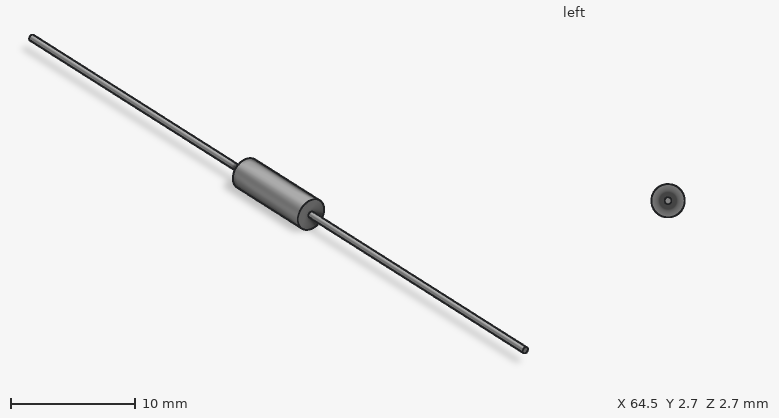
import cadquery as cq

overall_length = 64.5
body_diameter = 2.7
body_length = 8.5
lead_diameter = 0.55
lead_length = (overall_length - body_length) / 2


def make_rod(diameter, length, start_x):
    """Round rod along +X on the part's axis, starting at start_x."""
    return cq.Workplane("YZ", origin=(start_x, 0, 0)).circle(diameter / 2).extrude(length)


def make_body():
    """Cylindrical body centred on the origin."""
    return make_rod(body_diameter, body_length, -body_length / 2)


def make_lead(start_x):
    """Wire lead whose inner end touches an end face of the body."""
    return make_rod(lead_diameter, lead_length, start_x)


body = make_body()
lead_starts = (-overall_length / 2, body_length / 2)
leads = [make_lead(start_x) for start_x in lead_starts]

result = cq.Compound.makeCompound([body.val(), *[lead.val() for lead in leads]])